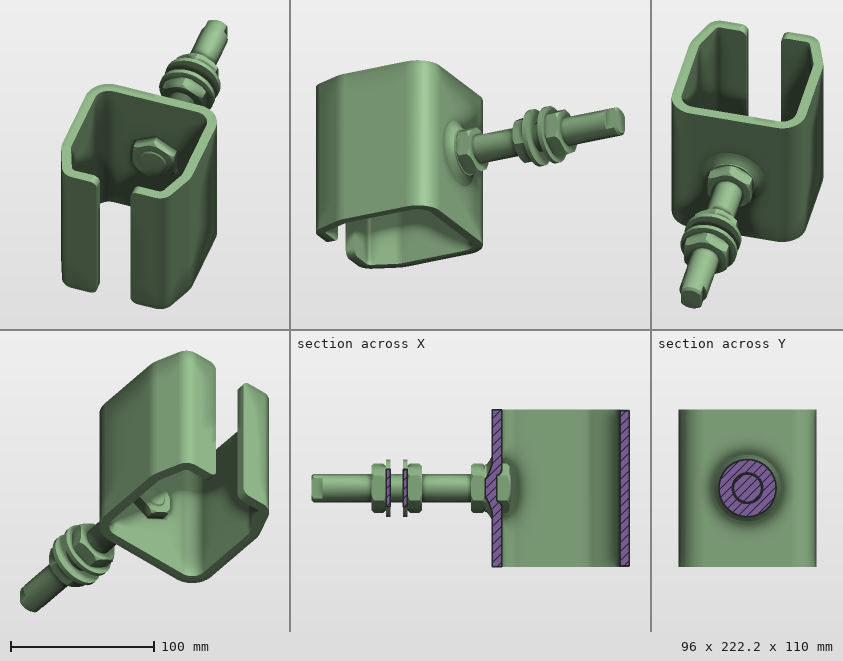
import cadquery as cq
import math

channel_size = 96.0
channel_length = 110.0
wall = 7.0
bend_radius = 17.1
lip_bend_radius = 10.5
knee_depth = 69.5
knee_angle = math.radians(21)
slot_width = 25.0
lip_corner_radius = 5.1

seat_depth = 5.0
seat_edge_radius = 4.5
boss_top_radius = 16.7
boss_rim_height = 1.0
boss_flare_mid = (19.1, 2.0)
boss_base_radius = 23.3

rod_radius = 10.0
rod_rear = 126.2
rod_front_chamfer = 1.0
rod_front_cone = 1.1
rod_rear_chamfer = 1.5
flats_width = 14.0
flats_length = 7.8

nut_across_flats = 30.0
nut_face_radius = 15.5
nut_height = 10.0
nut_chamfer_angle = math.radians(45)
washer_diameter = 40.2
washer_bore = 21.0
washer_thickness = 3.1
clamp_front = 62.2
clamp_rear = 71.1

selection_margin = 0.2

nut_circumscribed = nut_across_flats / math.cos(math.pi / 6)
half_size = channel_size / 2
seat_floor = seat_depth - wall
rod_front = seat_floor - nut_height


def along_y(y):
    """Workplane across the rod at the given Y; its local axes are X and Z, extruding toward +Y."""
    return cq.Workplane(cq.Plane(origin=(0, y, 0), xDir=(1, 0, 0), normal=(0, 1, 0)))


def revolve_on_y(profile):
    """Turn a closed profile drawn as X = radius, Y = place along the rod."""
    return profile.close().revolve(360, (0, 0, 0), (0, 1, 0))


def hexagon(y, height):
    """Hexagonal prism with two corners on the Z axis."""
    return along_y(y).transformed(rotate=(0, 0, 90)).polygon(6, nut_circumscribed).extrude(height)


def make_channel():
    lip_half_width = half_size - (channel_size - knee_depth) * math.tan(knee_angle)
    outer = (
        cq.Workplane("XY", origin=(0, 0, -channel_length / 2))
        .polyline([
            (-half_size, 0),
            (half_size, 0),
            (half_size, -knee_depth),
            (lip_half_width, -channel_size),
            (-lip_half_width, -channel_size),
            (-half_size, -knee_depth),
        ])
        .close()
        .extrude(channel_length)
    )
    outer = outer.edges("|Z").edges("<Y").fillet(lip_bend_radius)
    outer = outer.edges("|Z").edges(">X or <X").fillet(bend_radius)
    hollow = outer.faces(">Z").wires().toPending().offset2D(-wall).extrude(-channel_length, combine=False)
    slot = (
        cq.Workplane("XZ", origin=(0, -channel_size + wall, 0))
        .rect(slot_width, channel_length)
        .extrude(wall)
    )
    channel = outer.cut(hollow).cut(slot)
    lip_corners = cq.selectors.BoxSelector(
        (-slot_width, -channel_size - wall, -channel_length),
        (slot_width, -channel_size + wall, channel_length),
    )
    return channel.edges("|Y").edges(lip_corners).fillet(lip_corner_radius)


def press_seat(channel):
    """Raise the boss and sink the seat, rounding the seat's mouth on the inner face of the web."""
    pressed = channel.union(make_boss()).cut(hexagon(-wall, seat_depth))
    mouth = cq.selectors.BoxSelector(
        (-nut_circumscribed, -wall - selection_margin, -nut_circumscribed),
        (nut_circumscribed, -wall + selection_margin, nut_circumscribed),
    )
    return pressed.edges(mouth).fillet(seat_edge_radius)


def make_boss():
    profile = (
        cq.Workplane("XY")
        .moveTo(0, seat_floor)
        .lineTo(boss_base_radius, seat_floor)
        .lineTo(boss_base_radius, 0)
        .threePointArc(boss_flare_mid, (boss_top_radius, seat_depth - boss_rim_height))
        .lineTo(boss_top_radius, seat_depth)
        .lineTo(0, seat_depth)
    )
    return revolve_on_y(profile)


def make_rod():
    profile = (
        cq.Workplane("XY")
        .moveTo(0, rod_front - rod_front_chamfer - rod_front_cone)
        .lineTo(rod_radius - rod_front_chamfer, rod_front - rod_front_chamfer)
        .lineTo(rod_radius, rod_front)
        .lineTo(rod_radius, rod_rear - rod_rear_chamfer)
        .lineTo(rod_radius - rod_rear_chamfer, rod_rear)
        .lineTo(0, rod_rear)
    )
    rod = revolve_on_y(profile)
    flat_cut = rod_radius - flats_width / 2
    flats = (
        along_y(rod_rear - flats_length)
        .pushPoints([(side * (flats_width + flat_cut) / 2, 0) for side in (-1, 1)])
        .rect(flat_cut, 2 * rod_radius)
        .extrude(flats_length)
    )
    return rod.cut(flats)


def make_nut(front):
    """Nut whose corners are turned down on both faces."""
    corner_radius = nut_circumscribed / 2
    corner_drop = (corner_radius - nut_face_radius) * math.tan(nut_chamfer_angle)
    rear = front + nut_height
    profile = (
        cq.Workplane("XY")
        .moveTo(0, front)
        .lineTo(nut_face_radius, front)
        .lineTo(corner_radius, front + corner_drop)
        .lineTo(corner_radius, rear - corner_drop)
        .lineTo(nut_face_radius, rear)
        .lineTo(0, rear)
    )
    return hexagon(front, nut_height).intersect(revolve_on_y(profile))


def make_washer(front):
    return (
        along_y(front)
        .circle(washer_diameter / 2)
        .circle(washer_bore / 2)
        .extrude(washer_thickness)
    )


nut_fronts = [
    rod_front,
    seat_depth,
    clamp_front - washer_thickness - nut_height,
    clamp_rear + washer_thickness,
]
washer_fronts = [clamp_front - washer_thickness, clamp_rear]

result = press_seat(make_channel()).union(make_rod())
for nut_front in nut_fronts:
    result = result.union(make_nut(nut_front))
for washer_front in washer_fronts:
    result = result.union(make_washer(washer_front))